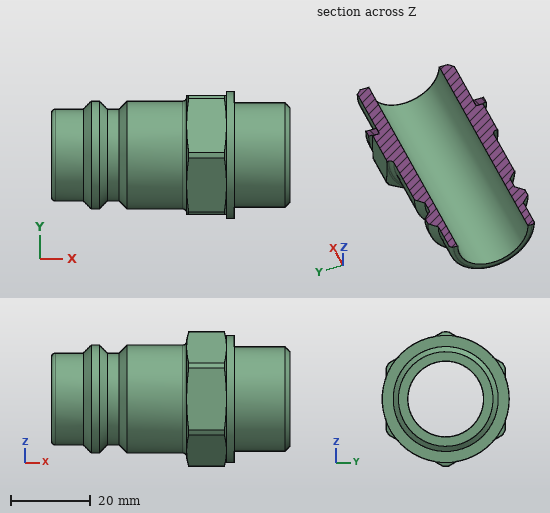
import cadquery as cq
import math

total_length = 60.0
nose_length = 8.0
rib_crest_width = 2.0
neck_end = 17.0
hex_start = 34.0
hex_width = 10.0
hex_end = hex_start + hex_width
ring_width = 2.0

bore_diameter = 19.0
nose_diameter = 23.15
barrel_diameter = 27.2
spigot_diameter = 26.4
ring_diameter = 32.0

hex_sides = 6
hex_across_flats = 30.0
hex_turned_diameter = 33.85
hex_bevel_angle = 15.0

nose_fillet = 1.0
shoulder_fillet = 1.0
spigot_chamfer = 1.3

bore_radius = bore_diameter / 2
nose_radius = nose_diameter / 2
barrel_radius = barrel_diameter / 2
spigot_radius = spigot_diameter / 2
flat_radius = hex_across_flats / 2
turned_radius = hex_turned_diameter / 2
cone_length = barrel_radius - nose_radius
rib_crest_start = nose_length + cone_length
rib_crest_end = rib_crest_start + rib_crest_width
rib_end = rib_crest_end + cone_length
barrel_start = neck_end + cone_length
hex_bevel_length = (turned_radius - flat_radius) * math.tan(math.radians(hex_bevel_angle))
arc_midpoint_inset = 1 - math.sqrt(0.5)


def revolve_about_x(profile):
    """Turn a closed profile (X along the axis, Y as radius) around the X axis."""
    return profile.close().revolve(360, (0, 0, 0), (1, 0, 0))


def make_plug():
    """Nose, locking rib, neck and barrel, ending in a hollow fillet against the hexagon."""
    nose_inset = nose_fillet * arc_midpoint_inset
    shoulder_inset = shoulder_fillet * arc_midpoint_inset
    profile = (
        cq.Workplane("XY")
        .moveTo(0, bore_radius)
        .lineTo(0, nose_radius - nose_fillet)
        .threePointArc((nose_inset, nose_radius - nose_inset), (nose_fillet, nose_radius))
        .lineTo(nose_length, nose_radius)
        .lineTo(rib_crest_start, barrel_radius)
        .lineTo(rib_crest_end, barrel_radius)
        .lineTo(rib_end, nose_radius)
        .lineTo(neck_end, nose_radius)
        .lineTo(barrel_start, barrel_radius)
        .lineTo(hex_start - shoulder_fillet, barrel_radius)
        .threePointArc(
            (hex_start - shoulder_inset, barrel_radius + shoulder_inset),
            (hex_start, barrel_radius + shoulder_fillet),
        )
        .lineTo(hex_start, bore_radius)
    )
    return revolve_about_x(profile)


def make_hexagon():
    """Wrench hexagon with turned corners and a shallow conical bevel on both ends."""
    across_corners = hex_across_flats / math.cos(math.pi / hex_sides)
    prism = (
        cq.Workplane("YZ", origin=(hex_start, 0, 0))
        .transformed(rotate=(0, 0, 90))
        .polygon(hex_sides, across_corners)
        .circle(bore_radius)
        .extrude(hex_width)
    )
    turned_blank = revolve_about_x(
        cq.Workplane("XY")
        .moveTo(hex_start, 0)
        .lineTo(hex_start, flat_radius)
        .lineTo(hex_start + hex_bevel_length, turned_radius)
        .lineTo(hex_end - hex_bevel_length, turned_radius)
        .lineTo(hex_end, flat_radius)
        .lineTo(hex_end, 0)
    )
    return prism.intersect(turned_blank)


def make_spigot():
    """Plain cylinder behind the hexagon, chamfered at its free end."""
    return revolve_about_x(
        cq.Workplane("XY")
        .moveTo(hex_end, bore_radius)
        .lineTo(hex_end, spigot_radius)
        .lineTo(total_length - spigot_chamfer, spigot_radius)
        .lineTo(total_length, spigot_radius - spigot_chamfer)
        .lineTo(total_length, bore_radius)
    )


def make_nipple():
    """One-piece nipple: plug, hexagon and spigot around a common through bore."""
    return make_plug().union(make_hexagon()).union(make_spigot())


def make_sealing_ring():
    """Flat ring seated on the spigot against the rear of the hexagon."""
    return (
        cq.Workplane("YZ", origin=(hex_end, 0, 0))
        .circle(ring_diameter / 2)
        .circle(spigot_radius)
        .extrude(ring_width)
    )


nipple = make_nipple()
sealing_ring = make_sealing_ring()

result = cq.Compound.makeCompound([nipple.solids().val(), sealing_ring.val()])